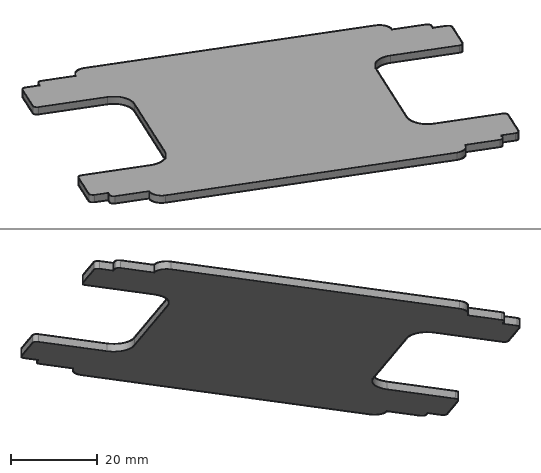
import cadquery as cq

length = 103.5
body_width = 64.0
thickness = 2.0

body_length = 76.2
shoulder_width = 58.0
shoulder_length = 94.7
leg_width = 54.0

slot_width = 34.2
slot_depth = 22.7

body_radius = 3.0
shoulder_radius = 1.0
leg_radius = 1.0
slot_radius = 5.0


def rounded_plate(width, plate_length, radius):
    """Centred rectangular plate standing on Z = 0 with rounded corners."""
    plate = cq.Workplane("XY").box(width, plate_length, thickness, centered=(True, True, False))
    return plate.edges("|Z").fillet(radius)


def end_slot(side):
    """Cutter for the slot at one end; side is +1 or -1 along Y."""
    cutter = rounded_plate(slot_width, 2 * slot_depth, slot_radius)
    return cutter.translate((0, side * length / 2, 0))


result = (
    rounded_plate(body_width, body_length, body_radius)
    .union(rounded_plate(shoulder_width, shoulder_length, shoulder_radius))
    .union(rounded_plate(leg_width, length, leg_radius))
)

for side in (1, -1):
    result = result.cut(end_slot(side))

inner_tip_size = slot_width + leg_radius
for side in (1, -1):
    tip_corners = cq.selectors.BoxSelector(
        (-inner_tip_size / 2, side * (length - leg_radius) / 2, 0),
        (inner_tip_size / 2, side * (length + leg_radius) / 2, thickness),
    )
    result = result.edges("|Z").edges(tip_corners).fillet(leg_radius)